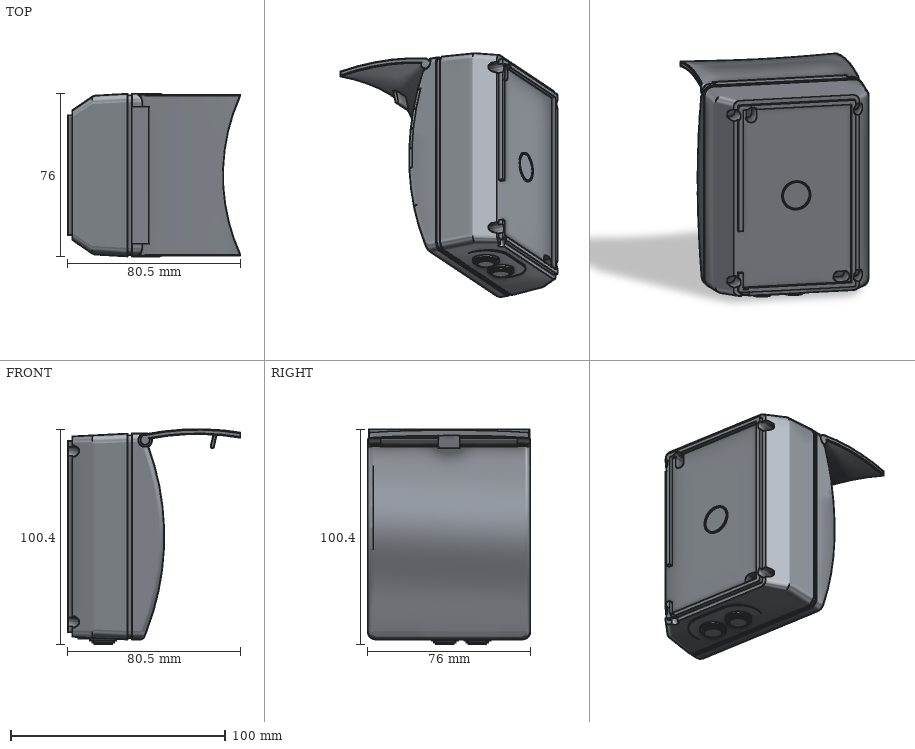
import cadquery as cq
import math


WIDTH = 76.0
HEIGHT = 96.1
HALF_WIDTH = WIDTH / 2
HALF_HEIGHT = HEIGHT / 2
BACK_X = 2.0
BACK_HALF_WIDTH = 30.1
BACK_HALF_HEIGHT = 46.8
BACK_CORNER_RADIUS = 3.0
FLANK_END_CORNER_RADIUS = 3.4
FLANK_END_X = 11.4
FLANK_END_HALF_WIDTH = 36.6
SHOULDER_END_X = 12.7
SHOULDER_END_HALF_WIDTH = 37.1
RIM_X = 28.0
CORNER_RADIUS = 4.0
LIP_CHAMFER = 0.2
LIP_X = RIM_X - LIP_CHAMFER
COVER_X = 29.8
NECK_INSET = 0.7

RIB_HALF_WIDTH = 28.0
RIB_HALF_HEIGHT = 44.7
RIB_THICKNESS = 2.0
RIB_OUTER_RADIUS = 0.8
RIB_INNER_RADIUS = 0.6
RIB_GAP_TOP = -15.4
RIB_GAP_BOTTOM = -35.4

SCREW_Y = 29.7
SCREW_Z = 39.8
SCREW_RADIUS = 2.7
OPENING_BOTTOM_X = 12.0
SLOT_Y = 21.6
SLOT_LENGTH = 7.6
SLOT_WIDTH = 5.0
KNOCKOUT_RADIUS = 6.8
KNOCKOUT_GROOVE = 0.5
DRAIN_Y = 24.6
DRAIN_RADIUS = 1.9
DRAIN_TOP = -43.4

GLAND_X = 16.5
GLAND_YS = (13.2, -1.9)
GLAND_PAD_RADIUS = 11.5
GLAND_PAD_BOTTOM = -47.7
GLAND_TIERS = ((6.1, -48.7), (5.1, -49.5), (4.2, -50.2))
GLAND_ROOT = -45.2

DOME_X = 45.1
DOME_RADIUS = 121.4
DOME_EDGE_RADIUS = 2.5

HINGE_X = 36.0
HINGE_Z = 45.0
BARREL_RADIUS = 3.3
BARREL_HALF_LENGTH = 31.9
POCKET_RADIUS = 3.1
BEAD_RADIUS = 2.1

LID_HALF_WIDTH = 37.5
LID_TIP_X = 80.5
LID_TOP = 50.2
LID_APEX_X = 60.5
LID_THICKNESS = 2.4
LID_REAR_X = 37.7
LID_EDGE_RADIUS = 0.4
TIP_SAG = 8.0

CATCH_X = 68.9
CATCH_BOTTOM_X = 67.4
CATCH_BOTTOM = 41.2
CATCH_THICKNESS = 1.6
CATCH_WIDTH = 10.0


def block(x0, x1, y0, y1, z0, z1):
    return cq.Workplane("XY").box(x1 - x0, y1 - y0, z1 - z0, centered=False).translate((x0, y0, z0))


def rod_along_y(x, z, radius, y0, y1):
    return cq.Workplane("XZ", origin=(x, y0, z)).circle(radius).extrude(y0 - y1)


def rounded_plate(x0, x1, half_width, half_height, radius):
    plate = block(x0, x1, -half_width, half_width, -half_height, half_height)
    return plate.edges("|X").fillet(radius)


def drafted_half_height(x):
    """Half height of the housing at x, between its back face and its front lip."""
    draft = (HALF_HEIGHT - BACK_HALF_HEIGHT) / (LIP_X - BACK_X)
    return BACK_HALF_HEIGHT + draft * (x - BACK_X)


def shell_section(x, half_width, half_height, corner_radius):
    outline = cq.Sketch().rect(2 * half_width, 2 * half_height).vertices().fillet(corner_radius)
    return outline.moved(cq.Location(cq.Vector(0, 0, x)))


def make_shell():
    """Drafted box whose flanks slope in towards the narrower back face."""
    flank_end_height = drafted_half_height(FLANK_END_X)
    shoulder_end_height = drafted_half_height(SHOULDER_END_X)
    rim_half_width = HALF_WIDTH - LIP_CHAMFER
    rim_half_height = HALF_HEIGHT - LIP_CHAMFER
    sections = (
        shell_section(BACK_X, BACK_HALF_WIDTH, BACK_HALF_HEIGHT, BACK_CORNER_RADIUS),
        shell_section(FLANK_END_X, FLANK_END_HALF_WIDTH, flank_end_height, FLANK_END_CORNER_RADIUS),
        shell_section(SHOULDER_END_X, SHOULDER_END_HALF_WIDTH, shoulder_end_height, CORNER_RADIUS),
        shell_section(LIP_X, HALF_WIDTH, HALF_HEIGHT, CORNER_RADIUS),
        shell_section(RIM_X, rim_half_width, rim_half_height, CORNER_RADIUS - LIP_CHAMFER),
    )
    return cq.Workplane("YZ").placeSketch(*sections).loft(ruled=True)


def make_rib():
    inner_width = RIB_HALF_WIDTH - RIB_THICKNESS
    inner_height = RIB_HALF_HEIGHT - RIB_THICKNESS
    rib = rounded_plate(0, BACK_X, RIB_HALF_WIDTH, RIB_HALF_HEIGHT, RIB_OUTER_RADIUS)
    rib = rib.cut(rounded_plate(0, BACK_X, inner_width, inner_height, RIB_INNER_RADIUS))
    return rib.cut(block(0, BACK_X, inner_width, RIB_HALF_WIDTH, RIB_GAP_BOTTOM, RIB_GAP_TOP))


def make_glands():
    pad_y = (GLAND_YS[0] + GLAND_YS[1]) / 2
    pad_length = GLAND_YS[0] - GLAND_YS[1] + 2 * GLAND_PAD_RADIUS
    glands = (
        cq.Workplane("XY", origin=(GLAND_X, pad_y, GLAND_ROOT))
        .slot2D(pad_length, 2 * GLAND_PAD_RADIUS, 90)
        .extrude(GLAND_PAD_BOTTOM - GLAND_ROOT)
    )
    for y in GLAND_YS:
        for radius, bottom in GLAND_TIERS:
            tier = cq.Workplane("XY", origin=(GLAND_X, y, GLAND_ROOT)).circle(radius)
            glands = glands.union(tier.extrude(bottom - GLAND_ROOT))
    return glands


def make_back_openings():
    """Screw holes, mounting slots, knockout ring and drain notch as one cutting shape."""
    back = cq.Workplane("YZ")
    corners = back.rect(2 * SCREW_Y, 2 * SCREW_Z, forConstruction=True).vertices()
    openings = corners.circle(SCREW_RADIUS).extrude(OPENING_BOTTOM_X)
    upright_slot = back.center(SLOT_Y, SCREW_Z).slot2D(SLOT_LENGTH, SLOT_WIDTH, 90).extrude(OPENING_BOTTOM_X)
    level_slot = back.center(-SLOT_Y, -SCREW_Z).slot2D(SLOT_LENGTH, SLOT_WIDTH).extrude(OPENING_BOTTOM_X)
    knockout = (
        cq.Workplane("YZ", origin=(BACK_X, 0, 0))
        .circle(KNOCKOUT_RADIUS)
        .circle(KNOCKOUT_RADIUS - KNOCKOUT_GROOVE)
        .extrude(KNOCKOUT_GROOVE)
    )
    drain = (
        cq.Workplane("XY", origin=(BACK_X, DRAIN_Y, DRAIN_TOP))
        .circle(DRAIN_RADIUS)
        .extrude(-HALF_HEIGHT - DRAIN_TOP)
    )
    for cutter in (upright_slot, level_slot, knockout, drain):
        openings = openings.union(cutter)
    return openings


def make_housing():
    neck = rounded_plate(
        RIM_X, COVER_X, HALF_WIDTH - NECK_INSET, HALF_HEIGHT - NECK_INSET, CORNER_RADIUS - NECK_INSET
    )
    housing = make_shell().union(neck).union(make_rib()).union(make_glands())
    return housing.cut(make_back_openings())


def make_cover():
    """Domed front with a hinge barrel between two open pockets for the lid's arms."""
    dome = rod_along_y(DOME_X - DOME_RADIUS, 0, DOME_RADIUS, -HALF_WIDTH, HALF_WIDTH)
    cover = rounded_plate(COVER_X, DOME_X, HALF_WIDTH, HALF_HEIGHT, CORNER_RADIUS).intersect(dome)
    cover = cover.faces(">X").edges().fillet(DOME_EDGE_RADIUS)
    cover = cover.faces("<X").edges().chamfer(LIP_CHAMFER)

    for side in (-1, 1):
        inner, outer = side * BARREL_HALF_LENGTH, side * HALF_WIDTH
        pocket = rod_along_y(HINGE_X, HINGE_Z, POCKET_RADIUS, inner, outer)
        opening = block(HINGE_X, DOME_X, min(inner, outer), max(inner, outer), HINGE_Z, LID_TOP)
        cover = cover.cut(pocket).cut(opening)

    ends = (-BARREL_HALF_LENGTH, BARREL_HALF_LENGTH)
    barrel = rod_along_y(HINGE_X, HINGE_Z, BARREL_RADIUS, *ends)
    bridge = block(COVER_X, HINGE_X, *ends, HINGE_Z, HINGE_Z + BARREL_RADIUS)
    return cover.union(barrel).union(bridge)


def arc_height(x, radius):
    """Height at x of an arc about the lid's axis of curvature."""
    return LID_TOP - DOME_RADIUS + math.sqrt(radius**2 - (x - LID_APEX_X) ** 2)


def make_lid_plate():
    """Curved plate whose rear edge hooks down into a round bead on the hinge axis."""
    under_radius = DOME_RADIUS - LID_THICKNESS
    bead_rear = HINGE_X - BEAD_RADIUS
    bead_front = HINGE_X + BEAD_RADIUS
    front_underside = (bead_front, arc_height(bead_front, under_radius))
    rear_top = (HINGE_X, arc_height(HINGE_X, DOME_RADIUS))
    return (
        cq.Workplane("XZ", origin=(0, LID_HALF_WIDTH, 0))
        .moveTo(*rear_top)
        .threePointArc((LID_APEX_X, LID_TOP), (LID_TIP_X, arc_height(LID_TIP_X, DOME_RADIUS)))
        .lineTo(LID_TIP_X, arc_height(LID_TIP_X, under_radius))
        .threePointArc((LID_APEX_X, LID_TOP - LID_THICKNESS), front_underside)
        .lineTo(bead_front, HINGE_Z)
        .threePointArc((HINGE_X, HINGE_Z - BEAD_RADIUS), (bead_rear, HINGE_Z))
        .tangentArcPoint(rear_top, relative=False)
        .close()
        .extrude(2 * LID_HALF_WIDTH)
    )


def make_catch():
    half = CATCH_THICKNESS / 2
    top = arc_height(CATCH_X, DOME_RADIUS) - LID_THICKNESS / 2
    return (
        cq.Workplane("XZ", origin=(0, CATCH_WIDTH / 2, 0))
        .moveTo(CATCH_X - half, top)
        .lineTo(CATCH_X + half, top)
        .lineTo(CATCH_BOTTOM_X + half, CATCH_BOTTOM + half)
        .threePointArc((CATCH_BOTTOM_X, CATCH_BOTTOM), (CATCH_BOTTOM_X - half, CATCH_BOTTOM + half))
        .close()
        .extrude(CATCH_WIDTH)
    )


def make_lid():
    tip_half_width = LID_HALF_WIDTH - LID_EDGE_RADIUS
    tip_radius = (tip_half_width**2 + TIP_SAG**2) / (2 * TIP_SAG)
    tip_cut = (
        cq.Workplane("XY", origin=(LID_TIP_X - TIP_SAG + tip_radius, 0, 0))
        .circle(tip_radius)
        .extrude(LID_TOP)
    )
    ends = (-BARREL_HALF_LENGTH, BARREL_HALF_LENGTH)
    lid = make_lid_plate()
    lid = lid.faces("<Y or >Y").edges().fillet(LID_EDGE_RADIUS).cut(tip_cut)
    lid = lid.cut(block(HINGE_X - BARREL_RADIUS, LID_REAR_X, *ends, 0, LID_TOP))
    lid = lid.cut(rod_along_y(HINGE_X, HINGE_Z, BARREL_RADIUS, *ends))
    return lid.union(make_catch())


housing = make_housing()
cover = make_cover()
lid = make_lid()

result = cq.Compound.makeCompound([body.solids().val() for body in (housing, cover, lid)])